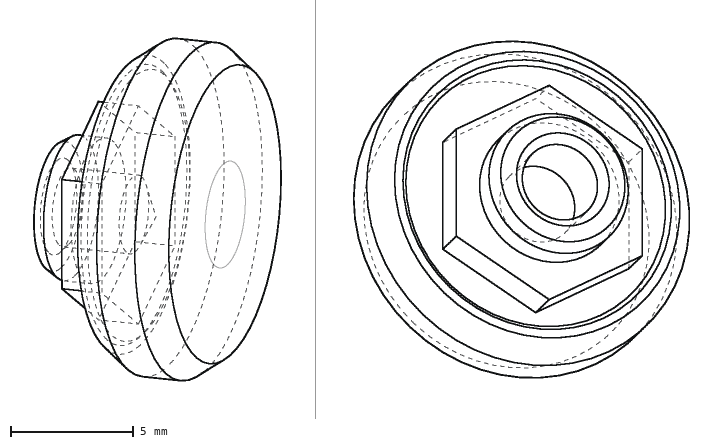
import cadquery as cq
import math


wheel_diameter = 13.93
wheel_face_diameter = 12.3
wheel_width = 4.03
wheel_bevel_length = 1.17

recess_mouth_diameter = 11.58
recess_floor_diameter = 11.2
recess_depth = 0.2

dome_diameter = 4.4
dome_height = 0.28

eccentric_z = -0.4

hex_across_flats = 8.01
hex_height = 1.56

boss_diameter = 6.0
boss_length = 1.77
boss_bevel_length = 0.56
boss_bevel_depth = boss_bevel_length * math.tan(math.radians(30))

hole_diameter = 3.25
countersink_diameter = 4.0
countersink_depth = (countersink_diameter - hole_diameter) / 2
hole_depth = boss_length + hex_height
drill_point_angle = 118.0
drill_point_length = hole_diameter / 2 / math.tan(math.radians(drill_point_angle / 2))

hex_face_x = -hex_height
boss_face_x = hex_face_x - boss_length


def revolve_about_x(profile, axis_z=0.0):
    """Revolve a closed (x, radius) outline about a line parallel to X."""
    solid = cq.Workplane("XY").polyline(profile).close().revolve(360, (0, 0, 0), (1, 0, 0))
    return solid.translate((0, 0, axis_z))


def make_wheel():
    outer_radius = wheel_diameter / 2
    face_radius = wheel_face_diameter / 2
    return revolve_about_x([
        (recess_depth, 0),
        (recess_depth, recess_floor_diameter / 2),
        (0, recess_mouth_diameter / 2),
        (0, face_radius),
        (wheel_bevel_length, outer_radius),
        (wheel_width - wheel_bevel_length, outer_radius),
        (wheel_width, face_radius),
        (wheel_width, 0),
    ])


def make_dome():
    radius = dome_diameter / 2
    sphere_radius = (radius**2 + dome_height**2) / (2 * dome_height)
    half_angle = math.asin(radius / sphere_radius) / 2
    arc_middle_x = wheel_width + dome_height - sphere_radius * (1 - math.cos(half_angle))
    return (
        cq.Workplane("XY")
        .moveTo(wheel_width, 0)
        .lineTo(wheel_width, radius)
        .threePointArc(
            (arc_middle_x, sphere_radius * math.sin(half_angle)),
            (wheel_width + dome_height, 0),
        )
        .close()
        .revolve(360, (0, 0, 0), (1, 0, 0))
    )


def make_hexagon():
    across_corners = hex_across_flats / math.cos(math.radians(30))
    return (
        cq.Workplane("YZ", origin=(hex_face_x, 0, 0))
        .polygon(6, across_corners)
        .extrude(hex_height + recess_depth)
        .rotate((0, 0, 0), (1, 0, 0), 30)
        .translate((0, 0, eccentric_z))
    )


def make_boss():
    radius = boss_diameter / 2
    return revolve_about_x([
        (boss_face_x, 0),
        (boss_face_x, radius - boss_bevel_depth),
        (boss_face_x + boss_bevel_length, radius),
        (hex_face_x, radius),
        (hex_face_x, 0),
    ], eccentric_z)


def make_hole():
    radius = hole_diameter / 2
    hole_end_x = boss_face_x + hole_depth
    return revolve_about_x([
        (boss_face_x, 0),
        (boss_face_x, countersink_diameter / 2),
        (boss_face_x + countersink_depth, radius),
        (hole_end_x, radius),
        (hole_end_x + drill_point_length, 0),
    ], eccentric_z)


body = make_wheel().union(make_dome()).union(make_hexagon()).union(make_boss())
result = body.cut(make_hole())